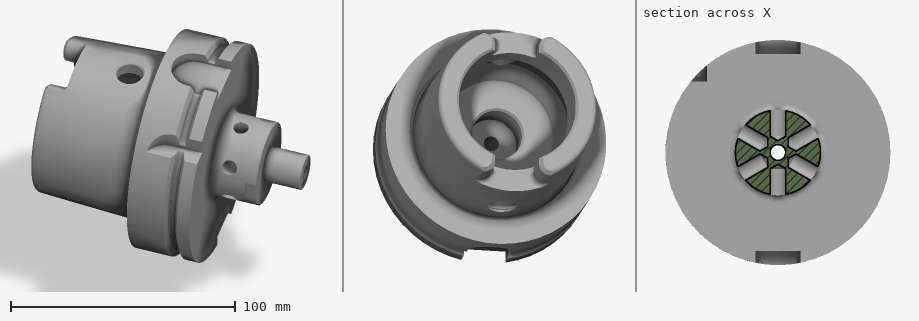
import cadquery as cq
import math


total_length = 117.0
shank_length = 49.8
flange_width = 29.2
hub_length = 20.8
stud_length = total_length - shank_length - flange_width - hub_length
shank_x = -shank_length
hub_x = flange_width
stud_x = hub_x + hub_length
tip_x = stud_x + stud_length

taper_small_radius = 35.7
taper_large_radius = 38.0
taper_end_x = -2.5
relief_radius = 75.2 / 2
relief_x = -1.9
relief_step = taper_large_radius - relief_radius
root_fillet = 1.0
face_recess = 0.5
rim_round = 2.0

bore_radius = 53.0 / 2
bore_chamfer = 1.0
bore_end_x = -30.2
undercut_radius = 63.0 / 2
undercut_end_x = -9.8
clamp_angle = 60
clamp_end_x = bore_end_x + (undercut_radius - bore_radius) / math.tan(math.radians(clamp_angle))
floor_radius = 25.0
floor_x = undercut_end_x + undercut_radius - floor_radius
socket_mouth_radius = 24.5 / 2
socket_radius = 22.5 / 2
socket_depth = 14.0
coolant_radius = 6.8 / 2

flange_radius = 100.0 / 2
groove_root_radius = 46.1
groove_wall_radius = 47.5
groove_x = 20.1
groove_width = 6.4
groove_flank_angle = 30
groove_fillet = 0.88
groove_flank = (flange_radius - groove_wall_radius) * math.tan(math.radians(groove_flank_angle))

keyway_width = 20.0
keyway_radius = keyway_width / 2
keyway_end_x = 5.0
keyway_floor = 43.9
index_notch_floor = 31.6
index_notch_wall = 31.6

hub_radius = 38.0 / 2
hub_fillet = 2.8
hub_edge = 0.4
stud_radius = 16.0 / 2
stud_edge = 0.4
neck_radius = 15.5 / 2
neck_length = 1.2
neck_runout = 0.9
neck_fillet = 0.2
flat_distance = 18.5
flat_length = 5.0
spanner_hole_radius = 6.8 / 2
spanner_hole_x = 37.1
spanner_hole_depth = 11.7
spanner_hole_count = 6
drill_point_angle = 118

slot_width = 20.0
lug_half_height = 32.3
lug_corner_radius = 4.9
top_slot_depth = 10.1
bottom_slot_depth = 14.9
slot_floor_fillet = 2.0
lug_chamfer = 1.6

access_x = -14.9
access_radius = 12.0 / 2
access_rim_radius = 13.0 / 2

CLEARANCE = 5.8


def revolve_about_x(profile):
    return profile.close().revolve(360, (0, 0, 0), (1, 0, 0))


def outer_body():
    groove_left = groove_x - groove_width / 2
    groove_right = groove_x + groove_width / 2
    wall_left = groove_left + groove_flank
    wall_right = groove_right - groove_flank
    root_radius = relief_radius + root_fillet
    profile = (
        cq.Workplane("XY")
        .moveTo(shank_x, 0)
        .lineTo(shank_x, taper_small_radius)
        .lineTo(taper_end_x, taper_large_radius)
        .lineTo(relief_x, taper_large_radius)
        .lineTo(relief_x + relief_step, relief_radius)
        .lineTo(face_recess - root_fillet, relief_radius)
        .radiusArc((face_recess, root_radius), -root_fillet)
        .lineTo(0, root_radius + face_recess)
        .lineTo(0, flange_radius)
        .lineTo(groove_left, flange_radius)
        .lineTo(wall_left, groove_wall_radius)
        .lineTo(wall_left, groove_root_radius + groove_fillet)
        .radiusArc((wall_left + groove_fillet, groove_root_radius), -groove_fillet)
        .lineTo(wall_right - groove_fillet, groove_root_radius)
        .radiusArc((wall_right, groove_root_radius + groove_fillet), -groove_fillet)
        .lineTo(wall_right, groove_wall_radius)
        .lineTo(groove_right, flange_radius)
        .lineTo(hub_x, flange_radius)
        .lineTo(hub_x, hub_radius + hub_fillet)
        .radiusArc((hub_x + hub_fillet, hub_radius), -hub_fillet)
        .lineTo(stud_x - hub_edge, hub_radius)
        .lineTo(stud_x, hub_radius - hub_edge)
        .lineTo(stud_x, neck_radius + neck_fillet)
        .radiusArc((stud_x + neck_fillet, neck_radius), -neck_fillet)
        .lineTo(stud_x + neck_length, neck_radius)
        .lineTo(stud_x + neck_length + neck_runout, stud_radius)
        .lineTo(tip_x - stud_edge, stud_radius)
        .lineTo(tip_x, stud_radius - stud_edge)
        .lineTo(tip_x, 0)
    )
    return revolve_about_x(profile).faces("<X").edges().fillet(rim_round)


def cavity():
    socket_chamfer = socket_mouth_radius - socket_radius
    profile = (
        cq.Workplane("XY")
        .moveTo(shank_x, 0)
        .lineTo(shank_x, bore_radius + bore_chamfer)
        .lineTo(shank_x + bore_chamfer, bore_radius)
        .lineTo(bore_end_x, bore_radius)
        .lineTo(clamp_end_x, undercut_radius)
        .lineTo(undercut_end_x, undercut_radius)
        .lineTo(floor_x, floor_radius)
        .lineTo(floor_x, socket_mouth_radius)
        .lineTo(floor_x + socket_chamfer, socket_radius)
        .lineTo(floor_x + socket_depth, socket_radius)
        .lineTo(floor_x + socket_depth, coolant_radius)
        .lineTo(tip_x, coolant_radius)
        .lineTo(tip_x, 0)
    )
    return revolve_about_x(profile)


def slot_outline(x, widening):
    """Drive slot section at x: a slot that also trims the lug tips to a flat, with rounded lug corners."""
    wall_y = slot_width / 2 + widening
    tip_z = lug_half_height - widening
    corner_radius = lug_corner_radius - widening
    corner_y = wall_y + corner_radius
    corner_z = tip_z - corner_radius
    side_y = taper_large_radius
    top_z = taper_large_radius + CLEARANCE
    return (
        cq.Workplane("YZ", origin=(x, 0, 0))
        .moveTo(-wall_y, 0)
        .lineTo(-wall_y, corner_z)
        .radiusArc((-corner_y, tip_z), -corner_radius)
        .lineTo(-side_y, tip_z)
        .lineTo(-side_y, top_z)
        .lineTo(side_y, top_z)
        .lineTo(side_y, tip_z)
        .lineTo(corner_y, tip_z)
        .radiusArc((wall_y, corner_z), -corner_radius)
        .lineTo(wall_y, 0)
        .close()
    )


def drive_slot(depth):
    """Cutter on the +Z side, filleted along its floor and widened into a chamfer at its mouth."""
    slot = (
        slot_outline(shank_x, 0)
        .extrude(depth)
        .faces(">X")
        .edges("(not <Z) and (not >Z) and (not <Y) and (not >Y)")
        .fillet(slot_floor_fillet)
    )
    mouth_wires = [
        slot_outline(shank_x, lug_chamfer).val(),
        slot_outline(shank_x + lug_chamfer, 0).val(),
    ]
    mouth = cq.Workplane(cq.Solid.makeLoft(mouth_wires, True))
    return slot.union(mouth)


def keyway(center_y, floor_z):
    """Round-ended slot open towards +X and +Z."""
    straight_start = keyway_end_x + keyway_radius
    straight_length = flange_width - straight_start
    height = flange_radius - floor_z + CLEARANCE
    straight = cq.Workplane("XY").box(
        straight_length, keyway_width, height, centered=(False, True, False)
    )
    round_end = cq.Workplane("XY").circle(keyway_radius).extrude(height)
    return straight.union(round_end).translate((straight_start, center_y, floor_z))


def access_hole():
    """Hole right across the shank along Z, with a small countersink at each end."""
    rim = access_rim_radius - access_radius
    taper_fraction = (access_x - taper_end_x) / (shank_x - taper_end_x)
    surface_z = taper_large_radius + (taper_small_radius - taper_large_radius) * taper_fraction
    rim_z = surface_z - rim
    side = (
        cq.Workplane("XZ")
        .lineTo(access_radius, 0)
        .lineTo(access_radius, rim_z - rim)
        .lineTo(access_rim_radius, rim_z)
        .lineTo(access_rim_radius, surface_z + CLEARANCE)
        .lineTo(0, surface_z + CLEARANCE)
        .close()
        .revolve(360, (0, 0, 0), (0, 1, 0))
    )
    return side.union(side.mirror("XY")).translate((access_x, 0, 0))


def spanner_holes():
    """Drilled radial holes spaced evenly round the hub, the first on +Z."""
    floor_z = hub_radius - spanner_hole_depth
    point_z = floor_z - spanner_hole_radius / math.tan(math.radians(drill_point_angle / 2))
    hole = (
        cq.Workplane("XZ")
        .moveTo(0, point_z)
        .lineTo(spanner_hole_radius, floor_z)
        .lineTo(spanner_hole_radius, hub_radius + CLEARANCE)
        .lineTo(0, hub_radius + CLEARANCE)
        .close()
        .revolve(360, (0, 0, 0), (0, 1, 0))
        .translate((spanner_hole_x, 0, 0))
    )
    holes = hole
    for i in range(1, spanner_hole_count):
        holes = holes.union(hole.rotate((0, 0, 0), (1, 0, 0), i * 360 / spanner_hole_count))
    return holes


def spanner_flat(side):
    """Shallow flat at the free end of the hub, on the -Y (-1) or +Y (+1) side."""
    thickness = hub_radius - flat_distance
    return (
        cq.Workplane("XY")
        .box(flat_length, thickness, 2 * hub_radius, centered=(False, True, True))
        .translate((stud_x - flat_length, side * (flat_distance + thickness / 2), 0))
    )


body = outer_body()

body = body.cut(drive_slot(top_slot_depth))
body = body.cut(drive_slot(bottom_slot_depth).mirror("XY"))
body = body.cut(cavity())
body = body.cut(access_hole())

main_keyway = keyway(0, keyway_floor)
body = body.cut(main_keyway).cut(main_keyway.mirror("XY"))
body = body.cut(keyway(-index_notch_wall - keyway_radius, index_notch_floor))

body = body.cut(spanner_holes())
for flat_side in (-1, 1):
    body = body.cut(spanner_flat(flat_side))

result = body